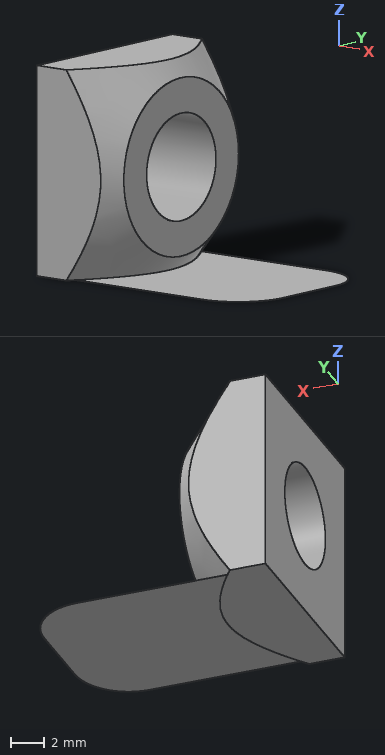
import cadquery as cq

total_length = 16.0
nut_side = 13.0
nut_thickness = 6.0
hole_diameter = 6.64
chamfer_inset = 1.0
tab_width = 12.0
tab_corner_radius = 3.5
tab_thickness = 0.01

half_side = nut_side / 2
crown_radius = half_side - chamfer_inset
cone_base_radius = crown_radius + nut_thickness


def make_nut():
    """Square block with its +X face turned down to a 45 degree cone."""
    block = cq.Workplane("XY").box(nut_thickness, nut_side, nut_side, centered=(False, True, True))
    cone = (
        cq.Workplane("XY")
        .polyline([(0, 0), (0, cone_base_radius), (nut_thickness, crown_radius), (nut_thickness, 0)])
        .close()
        .revolve(360, (0, 0, 0), (1, 0, 0))
    )
    return block.intersect(cone)


def make_tab():
    """Thin sheet along the bottom of the nut, rounded at its free end."""
    return (
        cq.Workplane("XY")
        .box(total_length, tab_width, tab_thickness, centered=(False, True, False))
        .edges("|Z and >X")
        .fillet(tab_corner_radius)
        .translate((0, 0, -half_side))
    )


def make_hole():
    """Through hole along the axis of the nut."""
    return cq.Workplane("YZ").circle(hole_diameter / 2).extrude(nut_thickness)


result = make_nut().union(make_tab()).cut(make_hole())